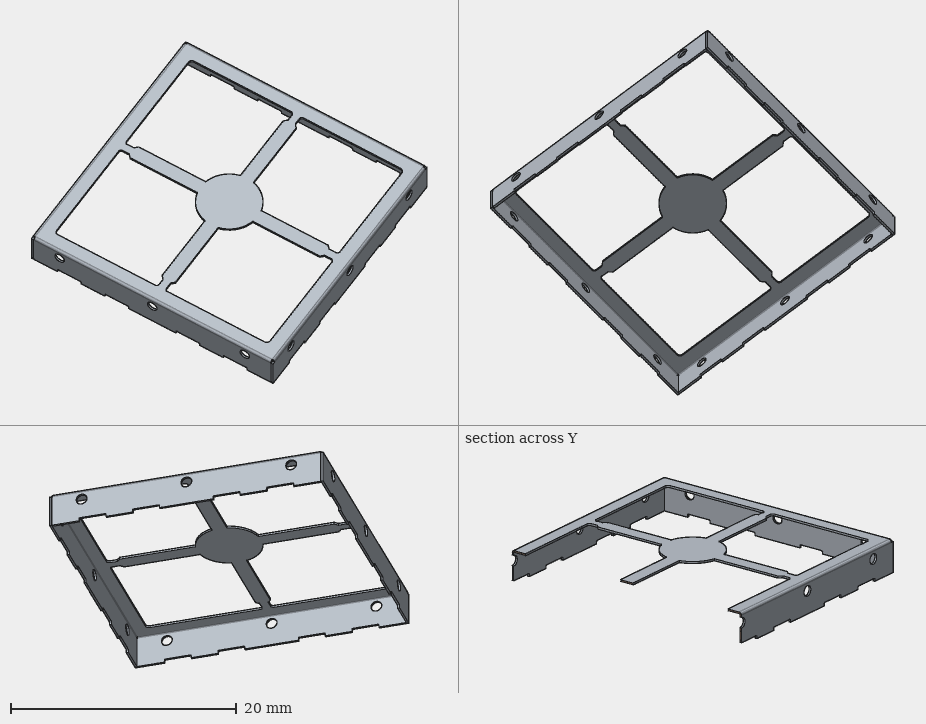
import cadquery as cq

side = 25.4
height = 3.2
thickness = 0.2
bend_radius = 0.25
corner_gap = 0.03

rim_width = 1.5
window_corner_radius = 0.35
spoke_width = 1.4
neck_width = 0.8
neck_length = 0.95
neck_corner_radius = 0.25
hub_diameter = 6.0

hole_diameter = 1.0
hole_pitch = 9.73
hole_drop = hole_diameter
notch_width = 2.5
notch_depth = 0.3
notch_radius = 0.1
inner_notch_center = 1.5 * notch_width
outer_notch_center = 3.5 * notch_width

half_side = side / 2
wall_height = height - bend_radius
cut_height = height + 0.25


def make_bent_cover():
    """Hollow shell whose roof runs through a rounded bend into four walls."""
    outer = cq.Workplane("XY").box(side, side, height, centered=(True, True, False))
    outer = outer.faces(">Z").edges().fillet(bend_radius)
    inner_side = side - 2 * thickness
    inner = cq.Workplane("XY").box(inner_side, inner_side, height - thickness, centered=(True, True, False))
    inner = inner.faces(">Z").edges().fillet(bend_radius - thickness)
    return outer.cut(inner)


def cut_corner_reliefs(body):
    """Free each corner: a square notch through both bends, and a slit parting the butted walls."""
    bend_relief = (
        cq.Workplane("XY", origin=(0, 0, wall_height))
        .rect(side - bend_radius, side - bend_radius, forConstruction=True)
        .vertices()
        .rect(bend_radius, bend_radius)
        .extrude(bend_radius)
    )
    slit_x = half_side - thickness - corner_gap / 2
    slit_y = half_side - thickness / 2
    slits = (
        cq.Workplane("XY")
        .rect(2 * slit_x, 2 * slit_y, forConstruction=True)
        .vertices()
        .rect(corner_gap, thickness)
        .extrude(wall_height)
    )
    return body.cut(bend_relief).cut(slits)


def round_upright_edge(body, x, y, radius):
    """Fillet the vertical edge of the body nearest to the point (x, y)."""
    nearest = cq.selectors.NearestToPointSelector((x, y, cut_height / 2))
    return body.edges("|Z").edges(nearest).fillet(radius)


def make_window():
    """Roof opening of the +X +Y quarter, bounded by the rim, two spokes and the hub."""
    outer_edge = half_side - rim_width
    half_spoke = spoke_width / 2
    half_neck = neck_width / 2
    neck_end = outer_edge - neck_length
    taper_end = neck_end - (half_spoke - half_neck)
    opening = (
        cq.Workplane("XY")
        .moveTo(half_spoke, half_spoke)
        .lineTo(taper_end, half_spoke)
        .lineTo(neck_end, half_neck)
        .lineTo(outer_edge, half_neck)
        .lineTo(outer_edge, outer_edge)
        .lineTo(half_neck, outer_edge)
        .lineTo(half_neck, neck_end)
        .lineTo(half_spoke, taper_end)
        .close()
        .extrude(cut_height)
    )
    opening = round_upright_edge(opening, outer_edge, outer_edge, window_corner_radius)
    opening = round_upright_edge(opening, outer_edge, half_neck, neck_corner_radius)
    opening = round_upright_edge(opening, half_neck, outer_edge, neck_corner_radius)
    hub = cq.Workplane("XY").circle(hub_diameter / 2).extrude(cut_height)
    return opening.cut(hub)


def make_wall_cutters():
    """Round holes and foot notches running along Y through the front and back walls."""
    plane = cq.Workplane("XZ")
    notch_centers = (-outer_notch_center, -inner_notch_center, inner_notch_center, outer_notch_center)
    holes = (
        plane.pushPoints([(x, height - hole_drop) for x in (-hole_pitch, 0, hole_pitch)])
        .circle(hole_diameter / 2)
        .extrude(half_side, both=True)
    )
    notches = (
        plane.pushPoints([(x, 0) for x in notch_centers])
        .rect(notch_width, 2 * notch_depth)
        .extrude(half_side, both=True)
        .edges("|Y")
        .fillet(notch_radius)
    )
    return holes.union(notches)


result = cut_corner_reliefs(make_bent_cover())
window = make_window()
for quarter in range(4):
    result = result.cut(window.rotate((0, 0, 0), (0, 0, 1), 90 * quarter))
cutters = make_wall_cutters()
side_cutters = cutters.rotate((0, 0, 0), (0, 0, 1), 90)
result = result.cut(cutters).cut(side_cutters)